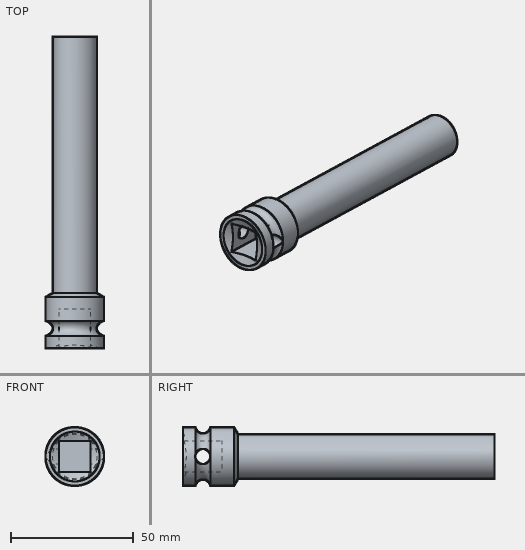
import cadquery as cq
import math

length = 127.0
head_diameter = 24.0
shank_diameter = 18.2

rim_width = 5.1
groove_width = 6.1
groove_depth = 2.5
collar_end = 20.8
shoulder_angle = 30.0

drive_size = 12.7
drive_depth = 16.0
lead_in_diameter = 20.3
lead_in_angle = 20.0
pin_hole_diameter = 6.1

head_radius = head_diameter / 2
shank_radius = shank_diameter / 2
groove_center = rim_width + groove_width / 2
groove_end = rim_width + groove_width
shoulder_length = (head_radius - shank_radius) * math.tan(math.radians(shoulder_angle))
shank_start = collar_end + shoulder_length
front_face = -length / 2


def make_body():
    """Revolve the outer profile about the socket axis."""
    profile = (
        cq.Workplane("XY")
        .lineTo(head_radius, 0)
        .lineTo(head_radius, rim_width)
        .threePointArc((head_radius - groove_depth, groove_center), (head_radius, groove_end))
        .lineTo(head_radius, collar_end)
        .lineTo(shank_radius, shank_start)
        .lineTo(shank_radius, length)
        .lineTo(0, length)
        .close()
    )
    return profile.revolve(360, (0, 0), (0, 1))


def make_drive_recess():
    """Square blind recess opening at the head end."""
    return cq.Workplane("XZ").rect(drive_size, drive_size).extrude(-drive_depth)


def make_lead_in():
    """Full cone that eases the entry to the square recess."""
    lead_in_radius = lead_in_diameter / 2
    cone_depth = lead_in_radius * math.tan(math.radians(lead_in_angle))
    profile = cq.Workplane("XY").lineTo(lead_in_radius, 0).lineTo(0, cone_depth).close()
    return profile.revolve(360, (0, 0), (0, 1))


def make_pin_hole():
    """Cross hole along X through the middle of the groove."""
    return (
        cq.Workplane("YZ")
        .center(groove_center, 0)
        .circle(pin_hole_diameter / 2)
        .extrude(head_radius, both=True)
    )


socket = make_body().cut(make_drive_recess()).cut(make_lead_in()).cut(make_pin_hole())
result = socket.translate((0, front_face, 0))